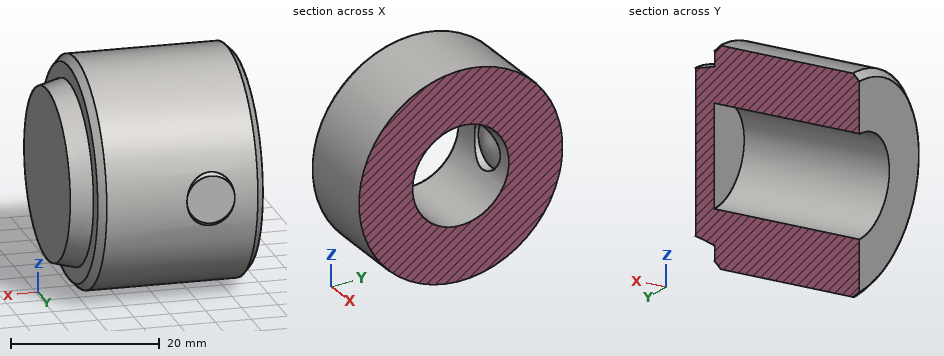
import cadquery as cq

body_diameter = 32.0
body_length = 22.98
chamfer = 1.0

overall_length = 26.0
collar_base_diameter = 25.6
collar_end_diameter = 24.0

bore_diameter = 15.0
bore_depth = body_length

screw_diameter = 8.0
screw_core_diameter = 6.65
screw_shoulder_y = 9.6
screw_x = 7.52
screw_tip_y = 6.95
screw_point_height = 1.15


def make_body():
    body_radius = body_diameter / 2
    return (
        cq.Workplane("XY")
        .lineTo(0, body_radius - chamfer)
        .lineTo(chamfer, body_radius)
        .lineTo(body_length - chamfer, body_radius)
        .lineTo(body_length, body_radius - chamfer)
        .lineTo(body_length, collar_base_diameter / 2)
        .lineTo(overall_length, collar_end_diameter / 2)
        .lineTo(overall_length, 0)
        .close()
        .revolve(360, (0, 0), (1, 0))
    )


def make_bore():
    return cq.Workplane("YZ").circle(bore_diameter / 2).extrude(bore_depth)


def make_screw_hole():
    return (
        cq.Workplane("XZ")
        .center(screw_x, 0)
        .circle(screw_core_diameter / 2)
        .extrude(-body_diameter / 2)
    )


def make_screw():
    head_y = body_diameter / 2
    core_x = screw_x + screw_core_diameter / 2
    thread_x = screw_x + screw_diameter / 2
    thread_depth = thread_x - core_x
    return (
        cq.Workplane("XY")
        .moveTo(screw_x, screw_tip_y)
        .lineTo(core_x, screw_tip_y + screw_point_height)
        .lineTo(core_x, screw_shoulder_y)
        .lineTo(thread_x, screw_shoulder_y + thread_depth)
        .lineTo(thread_x, head_y - thread_depth)
        .lineTo(core_x, head_y)
        .lineTo(screw_x, head_y)
        .close()
        .revolve(360, (screw_x, 0), (screw_x, 1))
    )


result = make_body().cut(make_bore()).cut(make_screw_hole()).union(make_screw())